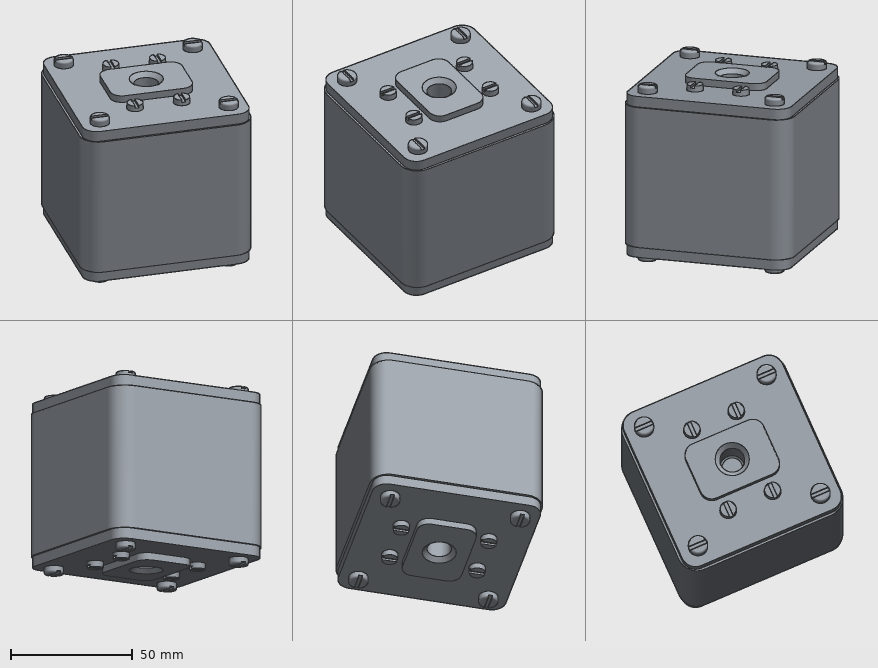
import cadquery as cq
import math

BODY_SIDE = 73.0
BODY_HEIGHT = 60.0
BODY_RADIUS = 8.0

PLATE_INSET = 1.0
PLATE_SIDE = BODY_SIDE - 2 * PLATE_INSET
PLATE_THICKNESS = 4.5
PLATE_RADIUS = 6.0
PLATE_FACE_Z = BODY_HEIGHT / 2 + PLATE_THICKNESS

OVERALL_HEIGHT = 75.0
PAD_HEIGHT = OVERALL_HEIGHT / 2 - PLATE_FACE_Z
PAD_LENGTH_X = 25.0
PAD_LENGTH_Y = 35.0
PAD_RADIUS = 5.0

HOLE_DIAMETER = 10.1
HOLE_DEPTH = 15.0
FLOOR_DIAMETER = 8.5
FLOOR_CONE_SLOPE = 30.0
FLOOR_CONE_DEPTH = (HOLE_DIAMETER - FLOOR_DIAMETER) / 2 * math.tan(math.radians(FLOOR_CONE_SLOPE))
MOUTH_CHAMFER = 1.95

CORNER_SCREW_OFFSET = 27.5
CORNER_SCREW_DIAMETER = 8.0
CORNER_SCREW_HEIGHT = PAD_HEIGHT
CORNER_SCREW_FILLET = 1.0

PAD_SCREW_OFFSET_X = 18.5
PAD_SCREW_OFFSET_Y = 10.0
PAD_SCREW_DIAMETER = 7.0
PAD_SCREW_HEIGHT = 2.5
PAD_SCREW_TAPER = 5.0

SLOT_WIDTH = 1.6
SLOT_DEPTH = 1.0


def rounded_block(length_x, length_y, height, radius):
    """Block standing on Z = 0 with rounded upright edges."""
    block = cq.Workplane("XY").box(length_x, length_y, height, centered=(True, True, False))
    return block.edges("|Z").fillet(radius)


def screw_slot(length_x, length_y, head_height):
    """Cutter for a driver slot in the top of a screw head."""
    slot = cq.Workplane("XY").workplane(offset=head_height - SLOT_DEPTH)
    return slot.rect(length_x, length_y).extrude(SLOT_DEPTH)


def corner_screw():
    """Round-edged head with its slot along Y."""
    head = cq.Workplane("XY").circle(CORNER_SCREW_DIAMETER / 2).extrude(CORNER_SCREW_HEIGHT)
    head = head.faces(">Z").edges().fillet(CORNER_SCREW_FILLET)
    return head.cut(screw_slot(SLOT_WIDTH, CORNER_SCREW_DIAMETER, CORNER_SCREW_HEIGHT))


def pad_screw():
    """Tapered head with its slot along X."""
    head = cq.Workplane("XY").circle(PAD_SCREW_DIAMETER / 2)
    head = head.extrude(PAD_SCREW_HEIGHT, taper=PAD_SCREW_TAPER)
    return head.cut(screw_slot(PAD_SCREW_DIAMETER, SLOT_WIDTH, PAD_SCREW_HEIGHT))


def place_four(feature, offset_x, offset_y):
    """Copies of a feature, one in each quadrant of the plate face."""
    copies = cq.Workplane("XY")
    for side_x in (-1, 1):
        for side_y in (-1, 1):
            copies = copies.add(feature.translate((side_x * offset_x, side_y * offset_y, PLATE_FACE_Z)))
    return copies.combine()


def pad_hole():
    """Cutter for the hole that goes down from the top of the pad."""
    wall_radius = HOLE_DIAMETER / 2
    floor_radius = FLOOR_DIAMETER / 2
    pad_top_z = OVERALL_HEIGHT / 2
    floor_z = pad_top_z - HOLE_DEPTH
    profile = (
        cq.Workplane("XZ")
        .moveTo(0, pad_top_z)
        .lineTo(wall_radius + MOUTH_CHAMFER, pad_top_z)
        .lineTo(wall_radius, pad_top_z - MOUTH_CHAMFER)
        .lineTo(wall_radius, floor_z + FLOOR_CONE_DEPTH)
        .lineTo(floor_radius, floor_z)
        .lineTo(0, floor_z)
        .close()
    )
    return profile.revolve(360, (0, 0, 0), (0, 1, 0))


def upper_end():
    """Top plate with its pad and screws."""
    plate = rounded_block(PLATE_SIDE, PLATE_SIDE, PLATE_THICKNESS, PLATE_RADIUS)
    plate = plate.translate((0, 0, BODY_HEIGHT / 2))
    pad = rounded_block(PAD_LENGTH_X, PAD_LENGTH_Y, PAD_HEIGHT, PAD_RADIUS)
    end = plate.union(pad.translate((0, 0, PLATE_FACE_Z)))
    end = end.union(place_four(corner_screw(), CORNER_SCREW_OFFSET, CORNER_SCREW_OFFSET))
    return end.union(place_four(pad_screw(), PAD_SCREW_OFFSET_X, PAD_SCREW_OFFSET_Y))


body = rounded_block(BODY_SIDE, BODY_SIDE, BODY_HEIGHT, BODY_RADIUS)
body = body.translate((0, 0, -BODY_HEIGHT / 2))

top_end = upper_end()
top_hole = pad_hole()

result = body.union(top_end).union(top_end.mirror("XY"))
result = result.cut(top_hole).cut(top_hole.mirror("XY"))